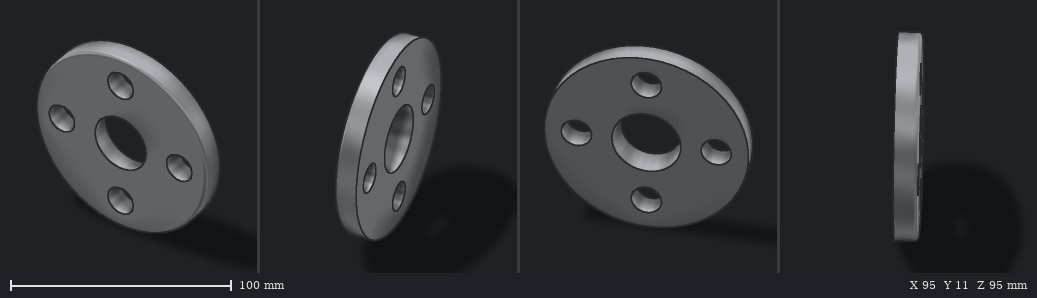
import cadquery as cq

flange_diameter = 95.0
flange_thickness = 11.0
front_edge_radius = 2.0

bore_front_diameter = 28.0
bore_back_diameter = 32.0

bolt_hole_diameter = 14.0
bolt_circle_diameter = 65.0
bolt_hole_count = 4


def make_disc():
    """Plain disc from Y = 0 towards -Y, with its front (-Y) rim rounded."""
    disc = cq.Workplane("XZ").circle(flange_diameter / 2).extrude(flange_thickness)
    return disc.faces("<Y").edges().fillet(front_edge_radius)


def make_bore():
    """Conical cutter for the central through bore."""
    return (
        cq.Workplane("XY")
        .moveTo(0, -flange_thickness)
        .lineTo(bore_front_diameter / 2, -flange_thickness)
        .lineTo(bore_back_diameter / 2, 0)
        .lineTo(0, 0)
        .close()
        .revolve(360, (0, 0, 0), (0, 1, 0))
    )


def make_bolt_holes():
    """Cutters for the through holes, equally spaced and starting on the X axis."""
    return (
        cq.Workplane("XZ")
        .polarArray(bolt_circle_diameter / 2, 0, 360, bolt_hole_count)
        .circle(bolt_hole_diameter / 2)
        .extrude(flange_thickness)
    )


result = make_disc().cut(make_bore()).cut(make_bolt_holes())